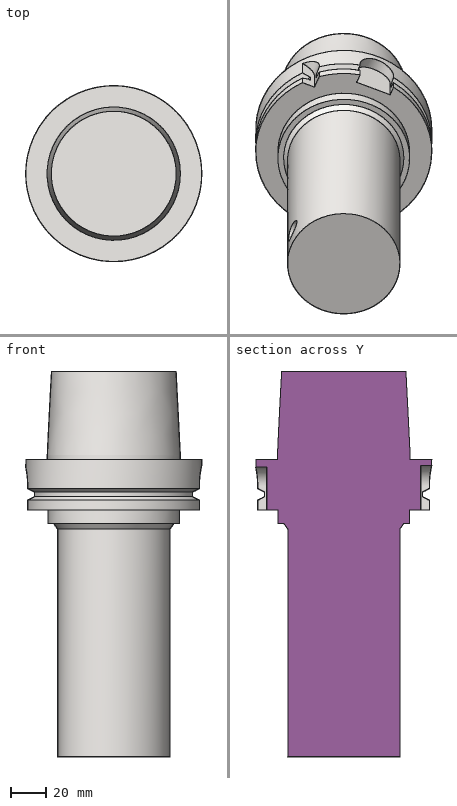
import cadquery as cq

total_height = 219.0
taper_length = 50.0
flange_height = 29.0
flange_top = total_height - taper_length
flange_bottom = flange_top - flange_height
collar_bottom = 132.5
shank_top = 129.5

shank_radius = 64.0 / 2
collar_radius = 75.0 / 2
neck_radius = 34.2
flange_radius = 100.0 / 2
groove_radius = 46.2
taper_base_radius = 75.8 / 2
taper_top_radius = 35.5
taper_land_height = 2.2

groove_lower_edge = 145.9
groove_floor_bottom = 147.8
groove_floor_top = 150.5
groove_upper_edge = 152.5

slot_center_z = 154.2
slot_radius = 10.3
opposite_slot_radius = 11.4
slot_floor_x = 43.8
notch_floor_x = 31.8
notch_wall_y = 31.3

screw_hole_diameter = 12.3
screw_hole_z = 17.5
screw_hole_depth = 14.0


def turned_body():
    """Shank, collar, grooved flange and taper as one revolved profile."""
    profile = [
        (0, 0),
        (shank_radius, 0),
        (shank_radius, shank_top),
        (neck_radius, collar_bottom),
        (collar_radius, collar_bottom),
        (collar_radius, flange_bottom),
        (flange_radius, flange_bottom),
        (flange_radius, groove_lower_edge),
        (groove_radius, groove_floor_bottom),
        (groove_radius, groove_floor_top),
        (flange_radius, groove_upper_edge),
        (flange_radius, flange_top),
        (taper_base_radius, flange_top),
        (taper_base_radius, flange_top + taper_land_height),
        (taper_top_radius, total_height),
        (0, total_height),
    ]
    return cq.Workplane("XZ").polyline(profile).close().revolve(360, (0, 0), (0, 1))


def slot_cutter(start_x, end_x, center_y, radius):
    """Round-topped slot along X, running out through the flange underside."""
    return (
        cq.Workplane("YZ", origin=(start_x, center_y, 0))
        .moveTo(-radius, flange_bottom)
        .lineTo(-radius, slot_center_z)
        .threePointArc((0, slot_center_z + radius), (radius, slot_center_z))
        .lineTo(radius, flange_bottom)
        .close()
        .extrude(end_x - start_x)
    )


def screw_hole_cutter():
    """Blind hole entering the shank from +Y."""
    return (
        cq.Workplane("XZ", origin=(0, shank_radius, screw_hole_z))
        .circle(screw_hole_diameter / 2)
        .extrude(screw_hole_depth)
    )


result = (
    turned_body()
    .cut(slot_cutter(-flange_radius, -slot_floor_x, 0, slot_radius))
    .cut(slot_cutter(slot_floor_x, flange_radius, 0, opposite_slot_radius))
    .cut(slot_cutter(-flange_radius, -notch_floor_x, notch_wall_y + slot_radius, slot_radius))
    .cut(screw_hole_cutter())
)